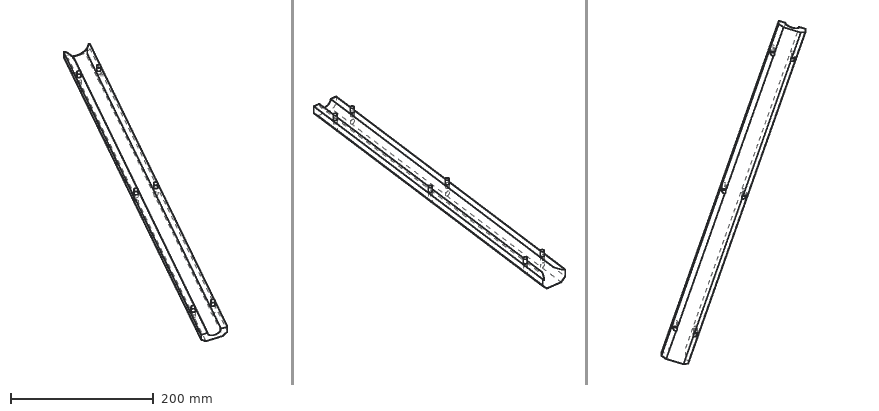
import cadquery as cq
import math

length = 530.5
width = 39.5
height = 18.77
corner_chamfer = 7.0
channel_radius = 10.0

lip_radius = 2.0
cone_slope = math.radians(30)
neck_slope = math.radians(17)
cone_end_x = 5.8
neck_x = 14.1
channel_start_x = 16.9

pin_diameter = 5.99
hole_diameter = 6.0
pin_stand_out = 8.0
pin_depth = 6.0
first_pin_x = 47.0
pin_pitch = 220.0
pins_per_row = 3
row_offset = 14.9

pin_centers = [
    (first_pin_x + i * pin_pitch, side * row_offset)
    for i in range(pins_per_row)
    for side in (-1, 1)
]


def arc_point(end_x, end_radius, arc_radius, end_slope, slope):
    """Point where an arc of the horn profile, known at one end, has the given slope."""
    x = end_x - arc_radius * (math.sin(slope) - math.sin(end_slope))
    radius = end_radius + arc_radius * (math.cos(end_slope) - math.cos(slope))
    return x, radius


def make_bar():
    half = width / 2
    section = [
        (-half, 0),
        (-half, corner_chamfer - height),
        (corner_chamfer - half, -height),
        (half - corner_chamfer, -height),
        (half, corner_chamfer - height),
        (half, 0),
    ]
    return cq.Workplane("YZ").polyline(section).close().extrude(length)


def make_bore():
    """Channel and horn as one solid of revolution about X, worked out from the channel outwards."""
    channel_start = (channel_start_x, channel_radius)

    throat_arc = (channel_start_x - neck_x) / math.sin(neck_slope)
    throat_middle = arc_point(*channel_start, throat_arc, 0, neck_slope / 2)
    neck = arc_point(*channel_start, throat_arc, 0, neck_slope)

    horn_arc = (neck_x - cone_end_x) / (math.sin(cone_slope) - math.sin(neck_slope))
    horn_middle = arc_point(*neck, horn_arc, neck_slope, (neck_slope + cone_slope) / 2)
    cone_end = arc_point(*neck, horn_arc, neck_slope, cone_slope)

    lip_end_x = lip_radius * (1 - math.sin(cone_slope))
    lip_end = (lip_end_x, cone_end[1] + (cone_end_x - lip_end_x) * math.tan(cone_slope))
    face_slope = math.pi / 2
    lip_middle = arc_point(*lip_end, lip_radius, cone_slope, (cone_slope + face_slope) / 2)
    mouth = arc_point(*lip_end, lip_radius, cone_slope, face_slope)

    profile = (
        cq.Workplane("XY")
        .moveTo(0, 0)
        .lineTo(*mouth)
        .threePointArc(lip_middle, lip_end)
        .lineTo(*cone_end)
        .threePointArc(horn_middle, neck)
        .threePointArc(throat_middle, channel_start)
        .lineTo(length, channel_radius)
        .lineTo(length, 0)
        .close()
    )
    return profile.revolve(360, (0, 0, 0), (1, 0, 0))


def make_holes():
    """Straight holes through the rims, breaking out on the lower chamfers."""
    return cq.Workplane("XY").pushPoints(pin_centers).circle(hole_diameter / 2).extrude(-height)


def make_pin(center):
    base = cq.Workplane("XY", origin=(*center, -pin_depth))
    return base.circle(pin_diameter / 2).extrude(pin_depth + pin_stand_out)


trough = make_bar().cut(make_bore()).cut(make_holes())
pins = [make_pin(center) for center in pin_centers]
result = cq.Compound.makeCompound([trough.val(), *[pin.val() for pin in pins]])